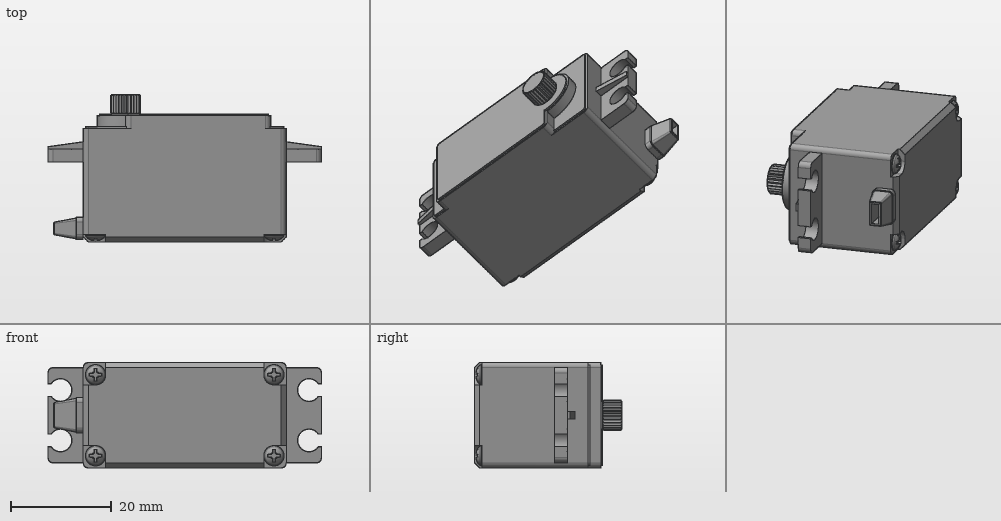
import cadquery as cq
import math


CASE_X = 40.35
CASE_Z = 21.0
CASE_TOP = 22.65
BLOCK_TOP = 25.15
RIM_INSET = 0.5
RIM_HEIGHT = 0.3
EDGE = 1.05
BLOCK_RIGHT = 17.15

SHAFT_X = -11.75
SHAFT_TIP = 29.4
SHAFT_D = 6.0
TOOTH_DEPTH = 0.3
TOOTH_COUNT = 25
SHAFT_CHAMFER = 0.25
BOSS_D = 11.3

LUG_SPAN = 54.4
LUG_Z = 18.95
LUG_BOTTOM = 15.9
LUG_TOP = 18.5
LUG_HOLE_D = 4.45
LUG_HOLE_TO_TIP = 2.5
LUG_HOLE_Z = 5.0
LUG_SLOT = 2.5
RIB_Z = 1.4
RIB_ROOT = 19.95
RIB_TIP = 19.0

HEAD_D = 4.0
HEAD_INSET = 2.45
POCKET_DEPTH = 1.45
HEAD_HEIGHT = 1.25
HEAD_RIM = 0.15
BEVEL_HEIGHT = 0.3
DOME_D = 3.6
CROSS_SPAN = 2.7
CROSS_WIDTH = 0.7
CROSS_CORE_D = 1.45
CROSS_DEPTH = 0.65
CROSS_TAPER = 12

GROMMET_Y = 2.7
COLLAR_Y = 4.45
COLLAR_Z = 7.0
COLLAR_LENGTH = 1.45
COLLAR_CORNER = 1.0
COLLAR_CHAMFER = 0.15
NOZZLE_ROOT_CORNER = 0.5
NOZZLE_TIP_Y = 2.5
NOZZLE_TIP_Z = 5.0
NOZZLE_TIP_CORNER = 0.25
NOZZLE_TIP_CHAMFER = 0.15
NOZZLE_LENGTH = 4.4
CABLE_Y = 1.45
CABLE_Z = 4.1

WALL_X = CASE_X / 2
LUG_TIP_X = LUG_SPAN / 2
BLOCK_X = BLOCK_RIGHT - SHAFT_X
BLOCK_MID_X = (BLOCK_RIGHT + SHAFT_X) / 2
SHAFT_SEAT = BLOCK_TOP + RIM_HEIGHT
SCREW_X = WALL_X - HEAD_INSET
SCREW_Z = CASE_Z / 2 - HEAD_INSET
CORNERS = [(side_x, side_z) for side_x in (-1, 1) for side_z in (-1, 1)]


def plane_at(y):
    """Sketch plane at height y whose axes are X and Z and whose normal is +Y."""
    return cq.Plane(origin=(0, y, 0), xDir=(1, 0, 0), normal=(0, 1, 0))


def box(x_range, y_range, z_range):
    """Axis-aligned box between the given limits."""
    lengths = [high - low for low, high in (x_range, y_range, z_range)]
    corner = (x_range[0], y_range[0], z_range[0])
    return cq.Workplane("XY").box(*lengths, centered=False).translate(corner)


def rounded_block(mid_x, size_x, size_z, radius, y_low, y_high):
    """Block along Y with its four long edges rounded."""
    block = cq.Workplane(plane_at(y_low)).center(mid_x, 0).rect(size_x, size_z)
    return block.extrude(y_high - y_low).edges("|Y").fillet(radius)


def cylinder(x, z, diameter, y_low, y_high):
    """Cylinder along Y."""
    return cq.Workplane(plane_at(y_low)).center(x, -z).circle(diameter / 2).extrude(y_high - y_low)


def shoulder_with_pad(mid_x, size_x, y_low, y_high):
    """Full-height rounded block topped by a thin pad set in from its outline."""
    pad_x = size_x - 2 * RIM_INSET
    pad_z = CASE_Z - 2 * RIM_INSET
    block = rounded_block(mid_x, size_x, CASE_Z, EDGE, y_low, y_high)
    pad = rounded_block(mid_x, pad_x, pad_z, EDGE - RIM_INSET, y_high, y_high + RIM_HEIGHT)
    return block.union(pad)


def make_case():
    """Case with its chamfered screw face, raised block and half-round shaft boss."""
    case = shoulder_with_pad(0, CASE_X, 0, CASE_TOP).faces("<Y").chamfer(EDGE)
    block = shoulder_with_pad(BLOCK_MID_X, BLOCK_X, CASE_TOP, BLOCK_TOP)
    boss = cylinder(SHAFT_X, 0, BOSS_D, CASE_TOP, BLOCK_TOP)
    boss_pad = cylinder(SHAFT_X, 0, BOSS_D - 2 * RIM_INSET, BLOCK_TOP, SHAFT_SEAT)
    return case.union(block).union(boss).union(boss_pad)


def make_lugs():
    """Plate through the case that forms both lugs, with screw holes open to the lug tips."""
    lugs = rounded_block(0, LUG_SPAN, LUG_Z, EDGE, LUG_BOTTOM, LUG_TOP)
    for side_x, side_z in CORNERS:
        hole_x = side_x * (LUG_TIP_X - LUG_HOLE_TO_TIP)
        hole_z = side_z * LUG_HOLE_Z
        mouth_x = sorted((hole_x, side_x * LUG_TIP_X))
        mouth_z = (hole_z - LUG_SLOT / 2, hole_z + LUG_SLOT / 2)
        lugs = lugs.cut(cylinder(hole_x, hole_z, LUG_HOLE_D, LUG_BOTTOM, LUG_TOP))
        lugs = lugs.cut(box(mouth_x, (LUG_BOTTOM, LUG_TOP), mouth_z))
    return lugs


def screw_pocket(side_x, side_z):
    """Corner pocket: a round seat under the screw head, opened to both case sides."""
    x = side_x * SCREW_X
    z = side_z * SCREW_Z
    reach = HEAD_D / 2
    depth = (0, POCKET_DEPTH)
    pocket = cylinder(x, z, HEAD_D, *depth)
    side_opening = box(sorted((x, side_x * WALL_X)), depth, sorted((z - side_z * reach, side_z * CASE_Z / 2)))
    end_opening = box(sorted((x - side_x * reach, side_x * WALL_X)), depth, sorted((z, side_z * CASE_Z / 2)))
    return pocket.union(side_opening).union(end_opening)


def make_housing():
    housing = make_case().union(make_lugs())
    for side_x, side_z in CORNERS:
        housing = housing.cut(screw_pocket(side_x, side_z))
    return housing


def make_rib(side_x):
    """Sloped rib that stands on a lug and leans on the case wall."""
    outline = [
        (side_x * WALL_X, LUG_TOP),
        (side_x * LUG_TIP_X, LUG_TOP),
        (side_x * LUG_TIP_X, RIB_TIP),
        (side_x * WALL_X, RIB_ROOT),
    ]
    return cq.Workplane("XY").polyline(outline).close().extrude(RIB_Z / 2, both=True)


def make_shaft():
    """Splined shaft with pointed teeth and chamfered ends."""
    tip_radius = SHAFT_D / 2
    root_radius = tip_radius - TOOTH_DEPTH
    outline = []
    for step in range(2 * TOOTH_COUNT):
        radius = tip_radius if step % 2 == 0 else root_radius
        angle = math.pi * step / TOOTH_COUNT
        outline.append((radius * math.cos(angle), radius * math.sin(angle)))
    length = SHAFT_TIP - SHAFT_SEAT
    seat = plane_at(SHAFT_SEAT)
    spline = cq.Workplane(seat).center(SHAFT_X, 0).polyline(outline).close().extrude(length)
    envelope = cylinder(SHAFT_X, 0, SHAFT_D, SHAFT_SEAT, SHAFT_TIP)
    envelope = envelope.faces("<Y or >Y").chamfer(SHAFT_CHAMFER)
    return spline.intersect(envelope)


def make_screw(x, z):
    """Screw head with a bevelled dome and a tapered cross recess, seated on the pocket floor."""
    dome_top = POCKET_DEPTH - HEAD_HEIGHT
    rim_y = POCKET_DEPTH - HEAD_RIM
    dome_y = rim_y - BEVEL_HEIGHT
    dome_rise = dome_y - dome_top
    dome_radius = ((DOME_D / 2) ** 2 + dome_rise**2) / (2 * dome_rise)
    half_angle = math.asin(DOME_D / 2 / dome_radius) / 2
    dome_mid = (dome_radius * math.sin(half_angle), dome_top + dome_radius * (1 - math.cos(half_angle)))
    head = (
        cq.Workplane("XY")
        .moveTo(0, POCKET_DEPTH)
        .lineTo(HEAD_D / 2, POCKET_DEPTH)
        .lineTo(HEAD_D / 2, rim_y)
        .lineTo(DOME_D / 2, dome_y)
        .threePointArc(dome_mid, (0, dome_top))
        .close()
        .revolve(360, (0, 0, 0), (0, 1, 0))
    )
    mouth = cq.Workplane("XZ", origin=(0, dome_top, 0))
    for size_x, size_z in ((CROSS_SPAN, CROSS_WIDTH), (CROSS_WIDTH, CROSS_SPAN)):
        head = head.cut(mouth.rect(size_x, size_z).extrude(-CROSS_DEPTH, taper=CROSS_TAPER))
    head = head.cut(mouth.circle(CROSS_CORE_D / 2).extrude(-CROSS_DEPTH, taper=CROSS_TAPER))
    return head.translate((x, 0, z))


def make_grommet():
    """Collar against the case wall with a tapering nozzle and a cable opening."""
    wall = cq.Plane(origin=(-WALL_X, GROMMET_Y, 0), xDir=(0, 1, 0), normal=(-1, 0, 0))
    collar = cq.Workplane(wall).rect(COLLAR_Y, COLLAR_Z).extrude(COLLAR_LENGTH)
    collar = collar.edges("|X").fillet(COLLAR_CORNER).faces("<X").chamfer(COLLAR_CHAMFER)
    root_y = COLLAR_Y - 2 * COLLAR_CHAMFER
    root_z = COLLAR_Z - 2 * COLLAR_CHAMFER
    root = cq.Sketch().rect(root_y, root_z).vertices().fillet(NOZZLE_ROOT_CORNER)
    tip = cq.Sketch().rect(NOZZLE_TIP_Y, NOZZLE_TIP_Z).vertices().fillet(NOZZLE_TIP_CORNER)
    nozzle = cq.Workplane(wall).workplane(offset=COLLAR_LENGTH)
    nozzle = nozzle.placeSketch(root, tip.moved(cq.Location(cq.Vector(0, 0, NOZZLE_LENGTH)))).loft()
    nozzle = nozzle.faces("<X").chamfer(NOZZLE_TIP_CHAMFER)
    opening = cq.Workplane(wall).rect(CABLE_Y, CABLE_Z).extrude(COLLAR_LENGTH + NOZZLE_LENGTH)
    return collar.union(nozzle).cut(opening)


housing = make_housing()
ribs = [make_rib(side_x) for side_x in (-1, 1)]
shaft = make_shaft()
screws = [make_screw(side_x * SCREW_X, side_z * SCREW_Z) for side_x, side_z in CORNERS]
grommet = make_grommet()

bodies = [housing, shaft, grommet, *ribs, *screws]
result = cq.Compound.makeCompound([body.solids().val() for body in bodies])